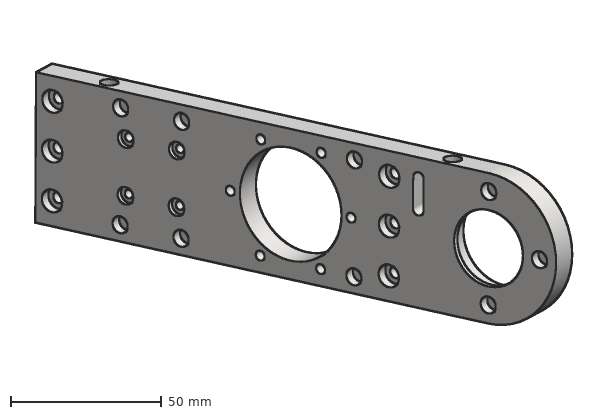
import cadquery as cq
import math

length = 205.0
height = 53.3
thickness = 10.0
lean_angle = 0.5

end_radius = height / 2
end_center_x = length / 2 - end_radius
front_y = -thickness / 2
back_y = thickness / 2

window_diameter = 40.0
window_x = -2.0
window_ring_radius = 23.8
window_ring_count = 6
window_ring_diameter = 3.5

lip_bore_diameter = 27.0
seat_diameter = 32.4
lip_thickness = 2.0
seat_ring_radius = 20.0
seat_ring_angles = (-90, 0, 90)

blind_diameter = 6.0
blind_depth = 4.0
blind_columns_x = (-69.0, -45.0, 23.0)
blind_row_z = 20.7
edge_hole_diameter = 6.2
edge_hole_depth = 8.0
edge_holes_x = (-76.9, 58.5)

large_screw_diameter = 4.0
large_head_diameter = 8.0
large_head_depth = 4.0
large_columns_x = (-96.0, 36.7)
large_row_z = 17.6
small_screw_diameter = 3.0
small_head_diameter = 6.2
small_head_depth = 2.0
small_spacing = 20.0
small_center_x = -57.0

slot_width = 4.0
slot_length = 15.4
slot_x = 48.2
slot_z = 13.7


def front_bore(x, z, diameter, depth):
    """Cylinder sunk from the front face to the given depth."""
    plane = cq.Workplane("XZ", origin=(x, front_y, z))
    return plane.circle(diameter / 2).extrude(-depth)


def counterbored_hole(x, z, screw_diameter, head_diameter, head_depth):
    """Through hole with a screw head recess in the front face."""
    through = front_bore(x, z, screw_diameter, thickness)
    return through.union(front_bore(x, z, head_diameter, head_depth))


def ring_points(center_x, radius, angles):
    """Points around a center on the plate's long axis; angles in degrees from +X toward +Z."""
    return [
        (center_x + radius * math.cos(math.radians(a)), radius * math.sin(math.radians(a)))
        for a in angles
    ]


plate = (
    cq.Workplane("XZ", origin=(0, front_y, 0))
    .moveTo(-length / 2, -height / 2)
    .lineTo(end_center_x, -height / 2)
    .threePointArc((length / 2, 0), (end_center_x, height / 2))
    .lineTo(-length / 2, height / 2)
    .close()
    .extrude(-thickness)
)

plate = plate.cut(front_bore(window_x, 0, window_diameter, thickness))
window_ring_angles = [360 / window_ring_count * i for i in range(window_ring_count)]
for x, z in ring_points(window_x, window_ring_radius, window_ring_angles):
    plate = plate.cut(front_bore(x, z, window_ring_diameter, thickness))

plate = plate.cut(front_bore(end_center_x, 0, lip_bore_diameter, thickness))
seat = (
    cq.Workplane("XZ", origin=(end_center_x, back_y, 0))
    .circle(seat_diameter / 2)
    .extrude(thickness - lip_thickness)
)
plate = plate.cut(seat)
for x, z in ring_points(end_center_x, seat_ring_radius, seat_ring_angles):
    plate = plate.cut(front_bore(x, z, blind_diameter, blind_depth))

for x in blind_columns_x:
    for z in (-blind_row_z, blind_row_z):
        plate = plate.cut(front_bore(x, z, blind_diameter, blind_depth))

for x in large_columns_x:
    for z in (-large_row_z, 0, large_row_z):
        plate = plate.cut(
            counterbored_hole(x, z, large_screw_diameter, large_head_diameter, large_head_depth)
        )

for x in (small_center_x - small_spacing / 2, small_center_x + small_spacing / 2):
    for z in (-small_spacing / 2, small_spacing / 2):
        plate = plate.cut(
            counterbored_hole(x, z, small_screw_diameter, small_head_diameter, small_head_depth)
        )

slot = (
    cq.Workplane("XZ", origin=(slot_x, front_y, slot_z))
    .slot2D(slot_length, slot_width, 90)
    .extrude(-thickness)
)
plate = plate.cut(slot)

for x in edge_holes_x:
    edge_hole = (
        cq.Workplane("XY", origin=(x, 0, height / 2))
        .circle(edge_hole_diameter / 2)
        .extrude(-edge_hole_depth)
    )
    plate = plate.cut(edge_hole)

result = plate.rotate((0, 0, 0), (1, 0, 0), -lean_angle)